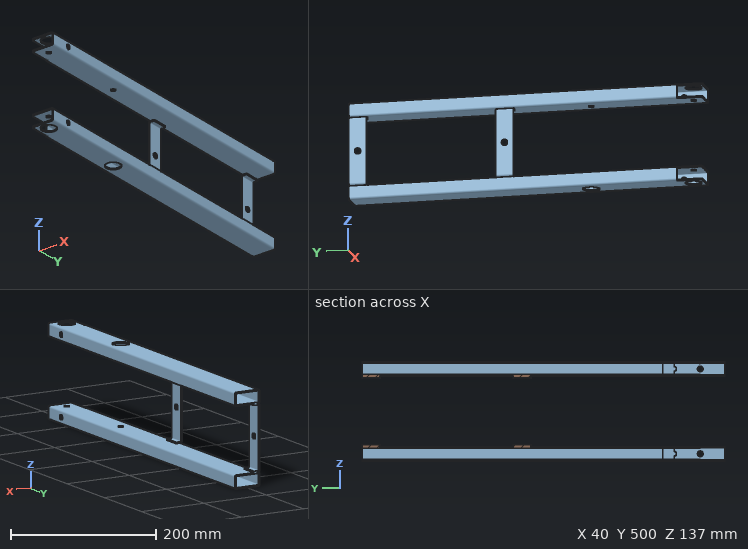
import cadquery as cq
frame_width = 40.0
frame_length = 500.0
frame_height = 137.0

tube_height = 20.0
tube_wall = 2.0
tube_radius = 3.0
tube_inner_radius = tube_radius - tube_wall

open_end_length = 35.0
open_end_corner_radius = 3.0

access_diameter = 23.0
screw_diameter = 7.0
rail_hole_x = frame_width / 2
first_rail_hole_y = 16.0
rail_hole_spacing = 145.0
rail_hole_ys = (first_rail_hole_y, first_rail_hole_y + rail_hole_spacing)

side_hole_diameter = 7.0
side_hole_y = 34.0

plate_thickness = 3.0
plate_height = tube_height - 2 * tube_wall
plate_length = plate_height
plate_start_y = 70.0
plate_face_x = frame_width - tube_wall - plate_thickness
nub_diameter = 6.5

strip_width = 25.0
strip_thickness = 2.0
strip_flange = 9.5
strip_bend_radius = 3.0
strip_hole_diameter = 8.0
strip_spacing = 208.0
last_strip_y = frame_length - strip_width
strip_starts = (last_strip_y - strip_spacing, last_strip_y)


def box(x_size, y_size, z_size, corner):
    """Box that grows in +X, +Y and +Z from the given corner."""
    return cq.Workplane("XY").box(x_size, y_size, z_size, centered=False).translate(corner)


def hole_along_z(diameter, y, z_start, depth):
    return cq.Workplane("XY", origin=(rail_hole_x, y, z_start)).circle(diameter / 2).extrude(depth)


def make_tube():
    outer = box(frame_width, frame_length, tube_height, (0, 0, 0)).edges("|Y").fillet(tube_radius)
    inner = box(
        frame_width - 2 * tube_wall,
        frame_length,
        tube_height - 2 * tube_wall,
        (tube_wall, 0, tube_wall),
    )
    return outer.cut(inner.edges("|Y").fillet(tube_inner_radius))


def open_front_end(rail):
    """Remove the near side wall at the front and round the two bare corners."""
    rail = rail.cut(box(tube_radius, open_end_length, tube_height, (0, 0, 0)))
    return rail.edges("|Z").edges("<Y").edges("<X").fillet(open_end_corner_radius)


def side_cylinder(diameter, y, length):
    """Cylinder along X at mid height of the tube, running outward from the plate face."""
    axis_start = (plate_face_x, y, tube_height / 2)
    return cq.Workplane("YZ", origin=axis_start).circle(diameter / 2).extrude(length)


def make_backing_plate():
    corner = (plate_face_x, plate_start_y, tube_wall)
    plate = box(plate_thickness, plate_length, plate_height, corner)
    return plate.union(side_cylinder(nub_diameter, plate_start_y, plate_thickness))


def make_lower_rail():
    rail = open_front_end(make_tube())
    rail = rail.cut(side_cylinder(side_hole_diameter, side_hole_y, plate_thickness + tube_wall))
    rail = rail.union(make_backing_plate())
    for y in rail_hole_ys:
        rail = rail.cut(hole_along_z(access_diameter, y, 0, tube_height / 2))
        rail = rail.cut(hole_along_z(screw_diameter, y, tube_height / 2, tube_height / 2))
    return rail


def make_strip(y_start):
    strip_height = frame_height - 2 * tube_height
    strip = box(strip_flange, strip_width, strip_height, (0, y_start, tube_height))
    strip = strip.edges("|Y and <X").fillet(strip_bend_radius)
    hollow = box(
        strip_flange,
        strip_width,
        strip_height - 2 * strip_thickness,
        (strip_thickness, y_start, tube_height + strip_thickness),
    )
    strip = strip.cut(hollow.edges("|Y and <X").fillet(strip_bend_radius - strip_thickness))
    hole = (
        cq.Workplane("YZ", origin=(0, y_start + strip_width / 2, frame_height / 2))
        .circle(strip_hole_diameter / 2)
        .extrude(strip_flange)
    )
    return strip.cut(hole)


lower_rail = make_lower_rail()
upper_rail = lower_rail.mirror("XY").translate((0, 0, frame_height))
result = lower_rail.union(upper_rail)
for strip_start in strip_starts:
    result = result.union(make_strip(strip_start))